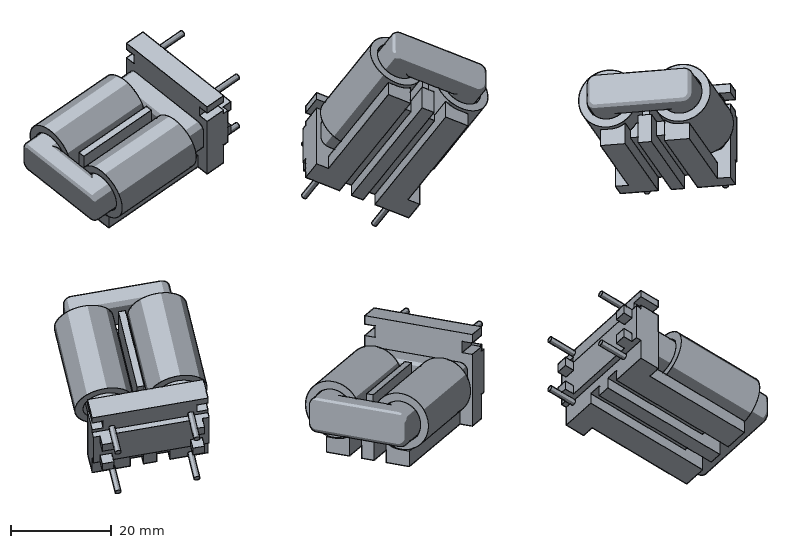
import cadquery as cq

total_length = 41.0
total_width = 26.85

flange_width = 23.5
flange_height = 19.7
flange_front_y = 29.25
flange_back_y = 33.75
side_notch_depth = 2.2
side_notch_bottom_z = 15.45
side_notch_top_z = 17.87

step_back_y = 34.9
step_bottom_z = 5.2
step_top_z = 14.45
lug_size = 2.38
lug_length = 2.1
lug_outer_x = 10.35

base_width = 18.1
base_front_y = 5.1
base_side_height = 3.3
trough_start_x = 6.95
crest_half_width = 2.83
crest_z = 5.75

rail_half_width = 1.35
channel_outer_x = 4.0
web_bottom_z = 2.8
web_front_y = 9.55

divider_width = 1.45
divider_front_y = 6.1
divider_back_y = 24.4
divider_top_z = 13.6

core_width = 21.48
core_height = 7.38
core_axis_z = 9.65
core_edge_radius = 1.8
core_front_radius = 0.9
leg_width = 6.48
window_end_radius = 1.3

coil_radius = 6.0
coil_bore_radius = 4.3
coil_axis_x = total_width / 2 - coil_radius
coil_front_y = 4.67
coil_length = 20.1

pin_radius = 0.6
pin_x = 8.0
pin_row_z = (2.7, 16.93)

SIDES = (-1, 1)


def block(x_range, y_range, z_range):
    """Box given by its limits along each axis."""
    size = [limits[1] - limits[0] for limits in (x_range, y_range, z_range)]
    corner = (x_range[0], y_range[0], z_range[0])
    return cq.Workplane("XY").box(*size, centered=False).translate(corner)


def centred_block(width, y_range, z_range):
    """Box that is symmetric about X = 0."""
    return block((-width / 2, width / 2), y_range, z_range)


def side_block(side, near_x, far_x, y_range, z_range):
    """Box on one side of X = 0, between two distances from it."""
    x_range = sorted((side * near_x, side * far_x))
    return block(x_range, y_range, z_range)


def rod_along_y(radius, x, z, y_start, length):
    """Cylinder along +Y from y_start."""
    axis_direction = cq.Vector(0, 1, 0)
    return cq.Workplane(cq.Solid.makeCylinder(radius, length, cq.Vector(x, y_start, z), axis_direction))


def make_flange():
    flange = centred_block(flange_width, (flange_front_y, flange_back_y), (0, flange_height))
    step = centred_block(flange_width, (flange_back_y, step_back_y), (step_bottom_z, step_top_z))
    flange = flange.union(step)

    lug_y = (step_back_y, step_back_y + lug_length)
    for side in SIDES:
        notch = side_block(
            side, flange_width / 2 - side_notch_depth, flange_width / 2,
            (flange_front_y, flange_back_y), (side_notch_bottom_z, side_notch_top_z),
        )
        flange = flange.cut(notch)
        for lug_bottom_z in (step_bottom_z, step_top_z - lug_size):
            lug_z = (lug_bottom_z, lug_bottom_z + lug_size)
            flange = flange.union(side_block(side, lug_outer_x - lug_size, lug_outer_x, lug_y, lug_z))
    return flange


def make_base_plate():
    """Plate with a raised centre crest that curves down to flat outer strips under the coils."""
    crest_run = trough_start_x - crest_half_width
    crest_rise = crest_z - base_side_height
    trough_radius = (crest_run**2 + crest_rise**2) / (2 * crest_rise)
    half_run = crest_run / 2
    trough_mid_z = base_side_height + trough_radius - (trough_radius**2 - half_run**2) ** 0.5
    trough_mid_x = trough_start_x - half_run

    return (
        cq.Workplane("XZ", origin=(0, base_front_y, 0))
        .moveTo(-base_width / 2, 0)
        .lineTo(base_width / 2, 0)
        .lineTo(base_width / 2, base_side_height)
        .lineTo(trough_start_x, base_side_height)
        .threePointArc((trough_mid_x, trough_mid_z), (crest_half_width, crest_z))
        .lineTo(-crest_half_width, crest_z)
        .threePointArc((-trough_mid_x, trough_mid_z), (-trough_start_x, base_side_height))
        .lineTo(-base_width / 2, base_side_height)
        .close()
        .extrude(base_front_y - flange_front_y)
    )


def make_base():
    base = make_base_plate().union(make_flange())
    for side in SIDES:
        channel = side_block(
            side, rail_half_width, channel_outer_x, (base_front_y, flange_back_y), (0, web_bottom_z)
        )
        front_slot = side_block(
            side, rail_half_width, channel_outer_x, (base_front_y, web_front_y), (0, crest_z)
        )
        base = base.cut(channel).cut(front_slot)
    divider = centred_block(divider_width, (divider_front_y, divider_back_y), (crest_z, divider_top_z))
    return base.union(divider)


def flared_opening(plane, low, high, edge_radius, depth):
    """Prism as tall as the core whose ends flare out to leave rounded edges of the given radius."""
    half_height = core_height / 2
    straight_z = half_height - edge_radius
    mid_drop = edge_radius * (1 - 0.5**0.5)
    flare_low = low - edge_radius
    flare_high = high + edge_radius
    mid_z = half_height - mid_drop
    return (
        cq.Workplane(plane, origin=(0, 0, core_axis_z))
        .moveTo(flare_low, half_height)
        .lineTo(flare_high, half_height)
        .threePointArc((high + mid_drop, mid_z), (high, straight_z))
        .lineTo(high, -straight_z)
        .threePointArc((high + mid_drop, -mid_z), (flare_high, -half_height))
        .lineTo(flare_low, -half_height)
        .threePointArc((low - mid_drop, -mid_z), (low, -straight_z))
        .lineTo(low, straight_z)
        .threePointArc((low - mid_drop, mid_z), (flare_low, half_height))
        .close()
        .extrude(depth, both=True)
    )


def make_core():
    bottom_z = core_axis_z - core_height / 2
    core = (
        centred_block(core_width, (0, flange_front_y), (bottom_z, bottom_z + core_height))
        .edges("|Y")
        .fillet(core_edge_radius)
        .faces("<Y")
        .edges()
        .fillet(core_front_radius)
    )
    window_half_width = core_width / 2 - leg_width
    across = flared_opening("XZ", -window_half_width, window_half_width, core_edge_radius, flange_front_y)
    along = flared_opening("YZ", coil_front_y, coil_front_y + coil_length, window_end_radius, core_width)
    return core.cut(across.intersect(along))


def make_coil(side):
    """Tube around one core leg, with clearance to the leg."""
    x = side * coil_axis_x
    outer = rod_along_y(coil_radius, x, core_axis_z, coil_front_y, coil_length)
    bore = rod_along_y(coil_bore_radius, x, core_axis_z, coil_front_y, coil_length)
    return outer.cut(bore)


def make_transformer():
    """Base, core and both coil tubes as one solid; each coil is held between the two window ends."""
    transformer = make_base().union(make_core())
    for side in SIDES:
        transformer = transformer.union(make_coil(side))
    return transformer


def make_pin(x, z):
    return rod_along_y(pin_radius, x, z, step_back_y, total_length - step_back_y)


transformer = make_transformer()

pins = []
for side in SIDES:
    for z in pin_row_z:
        pins.append(make_pin(side * pin_x, z).val())

result = cq.Compound.makeCompound([*transformer.solids().vals(), *pins])